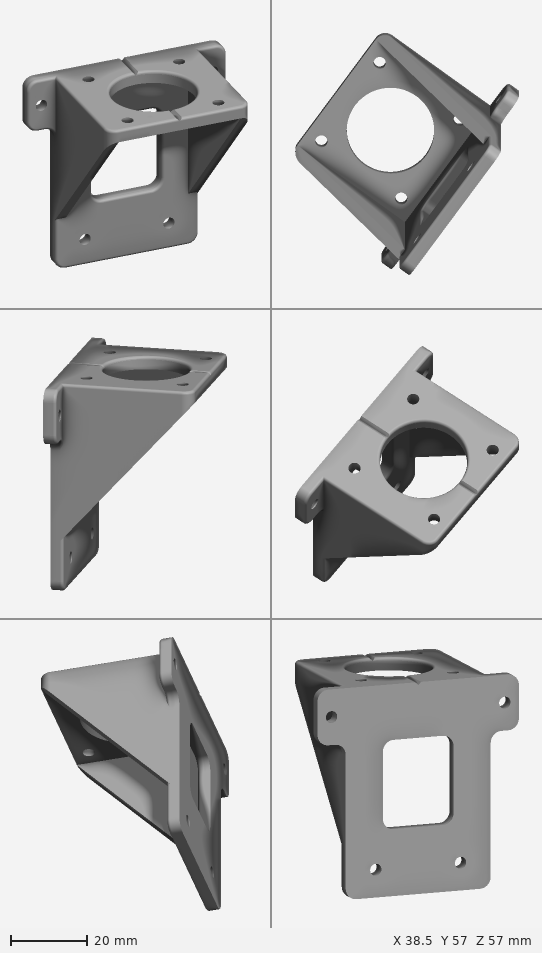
import cadquery as cq

size = 57.0
depth = 38.5
body_width = 41.05
thickness = 3.5
ear_height = 15.0
corner_radius = 3.0
edge_radius = 0.8
overlap = 0.55

screw_diameter = 3.2
bore_diameter = 23.0
bore_x = 21.0
flange_hole_pitch = 26.0
ear_hole_spacing = 49.0
ear_hole_drop = 7.45
lower_hole_spacing = 24.0
lower_hole_drop = 49.55
window_width = 20.0
window_height = 24.0
groove_depth = 0.8

wall_thickness = 3.0
wall_foot_drop = 41.95


def make_plate():
    """T-shaped plate with a window, all rounded on the inner face."""
    upper = cq.Workplane("XY").box(thickness, size, ear_height, centered=(False, True, False))
    lower = cq.Workplane("XY").box(thickness, body_width, size, centered=(False, True, False))
    plate = lower.translate((0, 0, -size)).union(upper.translate((0, 0, -ear_height)))
    plate = plate.edges("|X").fillet(corner_radius)
    window = (
        cq.Workplane("XY")
        .box(thickness, window_width, window_height, centered=(False, True, False))
        .edges("|X")
        .fillet(corner_radius)
        .translate((0, 0, -ear_height - window_height))
    )
    return plate.cut(window).faces(">X").edges().fillet(edge_radius)


def make_bracket():
    """Flange with two sloping side walls, open between the walls."""
    start = thickness - edge_radius
    slope = (wall_foot_drop - thickness) / (depth - thickness)
    profile = [
        (start, 0),
        (depth, 0),
        (depth, -thickness),
        (start, -wall_foot_drop - slope * edge_radius),
    ]
    bracket = cq.Workplane("XZ").polyline(profile).close().extrude(body_width / 2, both=True)
    bracket = bracket.edges("|Z and >X").fillet(corner_radius)
    cavity = (
        cq.Workplane("XY")
        .box(depth, body_width - 2 * wall_thickness, size, centered=(False, True, False))
        .translate((start - overlap, 0, -thickness - size))
    )
    bore = cq.Workplane("XY").center(bore_x, 0).circle(bore_diameter / 2).extrude(-size)
    bracket = bracket.cut(cavity).cut(bore)
    return bracket.faces(">Z").edges("not <X").fillet(edge_radius)


def make_screw_holes():
    """Four holes down through the flange and four through the plate."""
    flange_holes = (
        cq.Workplane("XY")
        .center(bore_x, 0)
        .rect(flange_hole_pitch, flange_hole_pitch, forConstruction=True)
        .vertices()
        .circle(screw_diameter / 2)
        .extrude(-thickness - overlap)
    )
    plate_points = []
    for spacing, drop in ((ear_hole_spacing, ear_hole_drop), (lower_hole_spacing, lower_hole_drop)):
        plate_points += [(-spacing / 2, -drop), (spacing / 2, -drop)]
    plate_holes = (
        cq.Workplane("YZ").pushPoints(plate_points).circle(screw_diameter / 2).extrude(thickness)
    )
    return flange_holes.union(plate_holes)


def make_groove():
    """Right-angled V along the centre line of the top face."""
    outline = [(-groove_depth, 0), (groove_depth, 0), (0, -groove_depth)]
    return cq.Workplane("YZ").polyline(outline).close().extrude(depth)


result = make_plate().union(make_bracket()).cut(make_screw_holes()).cut(make_groove())